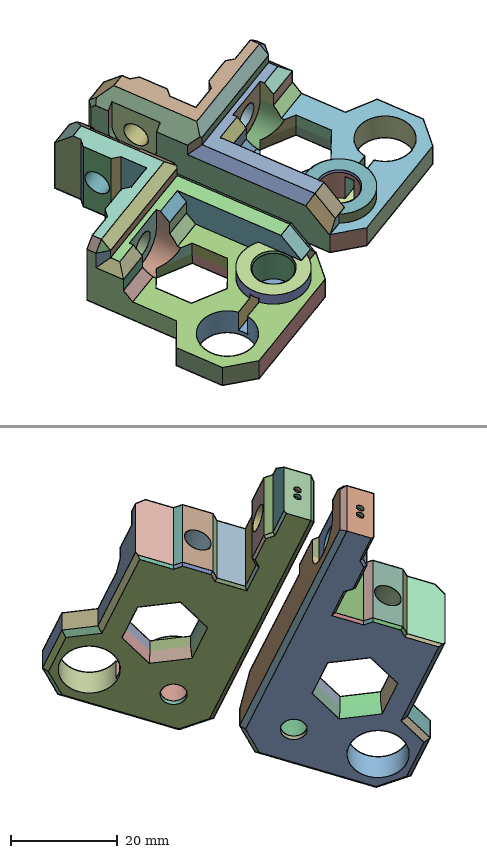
import cadquery as cq
import math

inner_y = 2.6
outer_y = 37.0
right_x = 58.0
step = 2.0
edge_break = 1.0
thin_break = 0.5

plate_thickness = 6.0
plate_corner = 5.0
lobe_left_x = 42.95
lobe_flank_angle = 60

wall_x = 20.0
wall_height = 17.0
wall_end_y = 31.05
wall_ridge_x = wall_x + step
wall_front_x = wall_x + 2 * step
arm_y = 9.0
arm_top_chamfer = 3.4
arm_tip_chamfer = 2 * step

shelf_top = wall_height - 2 * step
shelf_x = wall_front_x + 2 * step
rib_y = 7.9
rib_end_x = right_x - plate_corner
rib_end_chamfer = 4.4

ridge_depth = 1.3
ridge_half_width = 3.0
arm_screw_x = 10.05
arm_screw_z = 8.7
wall_screw_y = 19.1
wall_screw_z = 8.1
screw_diameter = 5.3
arm_recess_diameter = 10.5
arm_recess_depth = 1.3
wall_recess_diameter = 10.0
wall_recess_x = 25.1

hex_x = 35.8
hex_y = wall_screw_y
hex_across_flats = 13.3
hex_straight_depth = 2.95
hex_flare = 0.4

bore_x = 49.4
boss_y = 12.05
boss_diameter = 14.1
boss_top = 8.5
boss_bore_diameter = 8.05
rim_width = 0.2
rim_depth = 0.45
boss_hole_diameter = 5.0
boss_floor = 1.0
rod_y = 29.0
rod_diameter = 11.6
slot_width = 2.0
slot_top = 6.95

mark_diameter = 1.5
mark_depth = 0.75
mark_y = 6.3
mark_heights = (5.7, 7.7)

edge_margin = 0.1


def along_y(points):
    """Prism with an XZ profile, spanning the bracket's whole Y range."""
    return cq.Workplane("XZ").polyline(points).close().extrude(-outer_y)


def along_x(points):
    """Prism with a YZ profile, spanning the bracket's whole X range."""
    return cq.Workplane("YZ").polyline(points).close().extrude(right_x)


def mounting_outline():
    """Back edge of the L from the wall end to the arm tip, with the two locating ridges."""
    foot = ridge_half_width + ridge_depth
    return [
        (wall_x, wall_end_y),
        (wall_x, wall_screw_y + foot),
        (wall_x - ridge_depth, wall_screw_y + ridge_half_width),
        (wall_x - ridge_depth, wall_screw_y - ridge_half_width),
        (wall_x, wall_screw_y - foot),
        (wall_x, arm_y),
        (arm_screw_x + foot, arm_y),
        (arm_screw_x + ridge_half_width, arm_y + ridge_depth),
        (arm_screw_x - ridge_half_width, arm_y + ridge_depth),
        (arm_screw_x - foot, arm_y),
        (0, arm_y),
    ]


def is_mounting_edge(edge):
    """True for a bottom edge of the wall's or the arm's mounting face."""
    center = edge.Center()
    return center.x < wall_x + edge_margin and center.y > arm_y - edge_margin


def is_tip_edge(edge):
    """True for a bottom edge at the arm tip, which stays sharp."""
    return edge.Center().x < edge_break and edge.Center().y < arm_y - edge_margin


def base():
    """Plate-thick foot of the whole bracket, with its bottom chamfers."""
    flank_run = (outer_y - wall_end_y) / math.tan(math.radians(lobe_flank_angle))
    outline = mounting_outline() + [
        (0, inner_y + edge_break),
        (edge_break, inner_y),
        (rib_end_x, inner_y),
        (right_x, inner_y + plate_corner),
        (right_x, outer_y - plate_corner),
        (right_x - plate_corner, outer_y),
        (lobe_left_x, outer_y),
        (lobe_left_x - flank_run, wall_end_y),
    ]
    solid = cq.Workplane("XY").polyline(outline).close().extrude(plate_thickness)
    bottom = solid.faces("<Z").edges()
    plate_edges = bottom.filter(lambda e: not is_mounting_edge(e) and not is_tip_edge(e))
    solid = plate_edges.chamfer(edge_break)
    return solid.faces("<Z").edges().filter(is_mounting_edge).chamfer(thin_break)


def upright():
    """Wall and arm above the plate, with their chamfered top edges."""
    outline = mounting_outline() + [
        (0, inner_y),
        (wall_ridge_x, inner_y),
        (wall_front_x, inner_y + step),
        (wall_front_x, wall_end_y - step),
        (wall_ridge_x, wall_end_y),
    ]
    side = [
        (0, 0),
        (0, wall_height - arm_tip_chamfer),
        (arm_tip_chamfer, wall_height),
        (wall_ridge_x, wall_height),
        (wall_front_x, wall_height - step),
        (wall_front_x, 0),
    ]
    end = [
        (inner_y, 0),
        (inner_y, wall_height - arm_top_chamfer),
        (inner_y + arm_top_chamfer, wall_height),
        (wall_end_y - step, wall_height),
        (wall_end_y, wall_height - step),
        (wall_end_y, 0),
    ]
    solid = cq.Workplane("XY").workplane(offset=plate_thickness).polyline(outline).close()
    solid = solid.extrude(wall_height - plate_thickness)
    solid = solid.intersect(along_y(side))
    tip_edges = solid.faces("<Y").edges().filter(lambda e: e.Center().x < arm_tip_chamfer)
    solid = tip_edges.chamfer(edge_break)
    return solid.intersect(along_x(end)).cut(wall_corner())


def wall_corner():
    """Tip of the wall's far top corner, beyond the triangle that joins its three chamfers."""
    center = (wall_ridge_x + step / 3, wall_end_y - step * 2 / 3, wall_height - step * 2 / 3)
    plane = cq.Plane(origin=center, xDir=(1, -1, 0), normal=(1, 1, 1))
    return cq.Workplane(plane).circle(step).extrude(step)


def shelf():
    """Stepped shelf along the wall, with a sloped foot on the plate."""
    side = [
        (wall_x, plate_thickness),
        (wall_x, shelf_top),
        (shelf_x - step, shelf_top),
        (shelf_x, shelf_top - step),
        (shelf_x, plate_thickness + step),
        (shelf_x + step, plate_thickness),
    ]
    end = [
        (inner_y, plate_thickness),
        (inner_y, shelf_top - step),
        (inner_y + step, shelf_top),
        (wall_end_y - step, shelf_top),
        (wall_end_y, shelf_top - step),
        (wall_end_y, plate_thickness),
    ]
    return along_y(side).intersect(along_x(end))


def rib():
    """Rib along the inner face, sloping down at its far end."""
    side = [
        (wall_x, plate_thickness),
        (wall_x, shelf_top),
        (rib_end_x - rib_end_chamfer, shelf_top),
        (rib_end_x, shelf_top - rib_end_chamfer),
        (rib_end_x, plate_thickness),
    ]
    solid = cq.Workplane("XZ", origin=(0, inner_y, 0)).polyline(side).close().extrude(inner_y - rib_y)
    top_edges = solid.faces("<Y").edges(">Z or (not (|X or |Z))")
    return top_edges.chamfer(step)


def upright_cylinder(x, y, diameter, bottom, top):
    """Vertical cylinder between two heights."""
    plane = cq.Workplane("XY", origin=(x, y, bottom))
    return plane.circle(diameter / 2).extrude(top - bottom)


def boss():
    """Round boss standing on the plate."""
    return upright_cylinder(bore_x, boss_y, boss_diameter, plate_thickness, boss_top)


def boss_bore():
    """Counterbore with a broken rim, and the smaller hole through its floor."""
    bore = upright_cylinder(bore_x, boss_y, boss_bore_diameter, boss_floor, boss_top)
    hole = upright_cylinder(bore_x, boss_y, boss_hole_diameter, 0, boss_top)
    rim = cq.Solid.makeCone(
        boss_bore_diameter / 2,
        boss_bore_diameter / 2 + rim_width,
        rim_depth,
        pnt=cq.Vector(bore_x, boss_y, boss_top - rim_depth),
    )
    return bore.union(cq.Workplane(rim)).union(hole)


def rod_bore():
    """Large bore through the plate lobe."""
    return upright_cylinder(bore_x, rod_y, rod_diameter, 0, plate_thickness)


def slot():
    """Narrow slot from the boss counterbore to the rod bore."""
    corner = (bore_x - slot_width / 2, boss_y, boss_floor)
    return cq.Workplane("XY", origin=corner).box(
        slot_width, rod_y - boss_y, slot_top - boss_floor, centered=False
    )


def hex_window():
    """Hexagonal window: straight at the top, flaring slightly towards the bottom."""
    corner_ratio = 1 / math.cos(math.pi / 6)
    corner_diameter = hex_across_flats * corner_ratio
    flare_height = plate_thickness - hex_straight_depth
    flared_diameter = (hex_across_flats + 2 * hex_flare) * corner_ratio
    straight = cq.Workplane("XY", origin=(hex_x, hex_y, flare_height))
    straight = straight.polygon(6, corner_diameter).extrude(hex_straight_depth)
    flare = cq.Workplane("XY", origin=(hex_x, hex_y, 0)).polygon(6, flared_diameter)
    flare = flare.workplane(offset=flare_height).polygon(6, corner_diameter).loft()
    return straight.union(flare)


def open_top_recess(plane, diameter, depth):
    """Screw head recess with a round bottom and an open top, cut along the plane's normal."""
    rise = wall_height
    bottom = plane.circle(diameter / 2).extrude(depth)
    opening = plane.center(0, rise / 2).rect(diameter, rise).extrude(depth)
    return bottom.union(opening)


def arm_screw():
    """Hole through the arm along Y, with its recess in the inner face."""
    hole = cq.Workplane("XZ", origin=(arm_screw_x, 0, arm_screw_z))
    hole = hole.circle(screw_diameter / 2).extrude(-(arm_y + step))
    plane = cq.Workplane("XZ", origin=(arm_screw_x, inner_y + arm_recess_depth, arm_screw_z))
    return hole.union(open_top_recess(plane, arm_recess_diameter, arm_recess_depth))


def wall_screw():
    """Hole through the wall along X, with its recess running from the shelf into the window."""
    hole = cq.Workplane("YZ", origin=(0, wall_screw_y, wall_screw_z))
    hole = hole.circle(screw_diameter / 2).extrude(hex_x)
    plane = cq.Workplane("YZ", origin=(wall_recess_x, wall_screw_y, wall_screw_z))
    return hole.union(open_top_recess(plane, wall_recess_diameter, hex_x - wall_recess_x))


def marks():
    """Two small blind holes, one above the other, in the arm tip."""
    points = [(mark_y, height) for height in mark_heights]
    return cq.Workplane("YZ").pushPoints(points).circle(mark_diameter / 2).extrude(mark_depth)


def bracket():
    """The bracket on the +Y side."""
    solid = base()
    for feature in (upright(), shelf(), rib(), boss()):
        solid = solid.union(feature)
    cutters = (boss_bore(), rod_bore(), slot(), hex_window(), arm_screw(), wall_screw(), marks())
    for cutter in cutters:
        solid = solid.cut(cutter)
    return solid


left_bracket = bracket()
right_bracket = left_bracket.mirror("XZ")

result = cq.Compound.makeCompound([left_bracket.val(), right_bracket.val()])